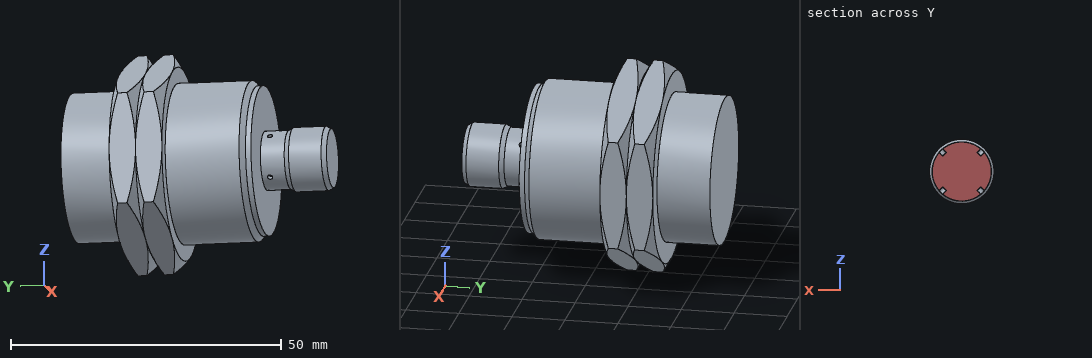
import cadquery as cq
import math

total_length = 48.5
rear_length = 10.0
nut_thickness = 5.0
nut_count = 2
housing_length = 36.0
collar_length = 1.0
housing_chamfer = 1.0
neck_length = 4.5
neck_cone_length = 0.9
tip_chamfer_length = 0.9

rear_diameter = 28.0
housing_diameter = 30.0
collar_diameter = housing_diameter - 2 * housing_chamfer
neck_diameter = 11.0
plug_diameter = 12.05
tip_diameter = 11.0

across_flats = 36.0
across_corners = across_flats / math.cos(math.radians(30))
nut_chamfer_angle = 30

hole_diameter = 0.9
hole_depth = 0.95
hole_count = 4
hole_start_angle = 45
hole_offset = 1.5

rear_y = total_length / 2
tip_y = -total_length / 2
nuts_rear_y = rear_y - rear_length
collar_face_y = rear_y - housing_length
housing_front_y = collar_face_y + collar_length
neck_front_y = collar_face_y - neck_length


def turned(profile):
    """Revolve (radius, y) points about the Y axis."""
    return cq.Workplane("XY").polyline(profile).close().revolve(360, (0, 0, 0), (0, 1, 0))


def make_body():
    """Stepped housing with its collar, neck and plug."""
    return turned([
        (0, rear_y),
        (rear_diameter / 2, rear_y),
        (rear_diameter / 2, nuts_rear_y),
        (housing_diameter / 2, nuts_rear_y),
        (housing_diameter / 2, housing_front_y + housing_chamfer),
        (collar_diameter / 2, housing_front_y),
        (collar_diameter / 2, collar_face_y),
        (neck_diameter / 2, collar_face_y),
        (neck_diameter / 2, neck_front_y),
        (plug_diameter / 2, neck_front_y - neck_cone_length),
        (plug_diameter / 2, tip_y + tip_chamfer_length),
        (tip_diameter / 2, tip_y),
        (0, tip_y),
    ])


def make_nut(nut_rear_y):
    """Hexagon nut with corners up and down, chamfered conically on both faces."""
    nut_front_y = nut_rear_y - nut_thickness
    face_radius = across_flats / 2
    corner_radius = across_corners / 2
    chamfer_length = (corner_radius - face_radius) * math.tan(math.radians(nut_chamfer_angle))
    hexagon = (
        cq.Workplane("XZ", origin=(0, nut_rear_y, 0))
        .transformed(rotate=(0, 0, 90))
        .polygon(6, across_corners)
        .extrude(nut_thickness)
    )
    envelope = turned([
        (0, nut_rear_y),
        (face_radius, nut_rear_y),
        (corner_radius, nut_rear_y - chamfer_length),
        (corner_radius, nut_front_y + chamfer_length),
        (face_radius, nut_front_y),
        (0, nut_front_y),
    ])
    return hexagon.intersect(envelope)


def make_neck_hole(angle):
    """Cutter for one radial hole, turned by the angle about the Y axis."""
    floor_radius = neck_diameter / 2 - hole_depth
    return (
        cq.Workplane("XY", origin=(0, collar_face_y - hole_offset, floor_radius))
        .circle(hole_diameter / 2)
        .extrude(2 * hole_depth)
        .rotate((0, 0, 0), (0, 1, 0), angle)
    )


result = make_body()

for nut_index in range(nut_count):
    result = result.union(make_nut(nuts_rear_y - nut_index * nut_thickness))

for hole_index in range(hole_count):
    hole_angle = hole_start_angle + hole_index * 360 / hole_count
    result = result.cut(make_neck_hole(hole_angle))